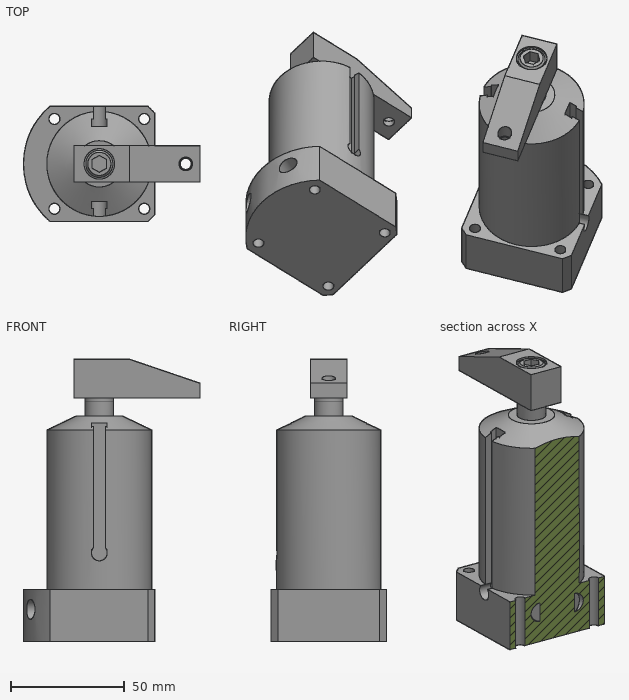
import cadquery as cq
import math

total_height = 124.3
base_height = 23.0
shoulder_z = 93.1
barrel_top_z = 99.3
arm_bottom_z = 107.1

base_radius = 33.4
base_width = 50.8
base_right_x = 24.5
base_corner_chamfer = 3.1
bolt_offset = 19.8
bolt_hole_diameter = 4.7

port_diameter = 8.7
port_depth = 11.5
port_z = 14.2
port_angle = 24.7

barrel_radius = 23.1
barrel_top_radius = 10.2

slot_width = 5.2
undercut_width = 7.0
slot_floor_y = 16.5
slot_lip_y = 19.6
front_slot_end_z = 39.0
rear_slot_end_z = 20.6

rod_radius = 6.3
taper_start_z = 105.6
taper_top_radius = 6.0
rod_tip_radius = 5.1
rod_tip_chamfer = taper_top_radius - rod_tip_radius
hex_across_flats = 6.5
hex_depth = 6.2

arm_width = 16.2
arm_left_x = -11.2
arm_right_x = base_right_x + 19.9
arm_bend_x = 13.3
arm_tip_z = 113.7
arm_recess_radius = 6.7
tip_hole_x = 38.0
tip_thread_diameter = 6.0
tip_drill_diameter = 4.8
tip_thread_floor_z = 110.3


def make_base():
    """Flange with a round -X side and four vertical bolt holes."""
    half_width = base_width / 2
    arc_end_x = -math.sqrt(base_radius**2 - half_width**2)
    base = (
        cq.Workplane("XY")
        .moveTo(arc_end_x, half_width)
        .threePointArc((-base_radius, 0), (arc_end_x, -half_width))
        .lineTo(base_right_x, -half_width)
        .lineTo(base_right_x, half_width)
        .close()
        .extrude(base_height)
        .edges("|Z and >X")
        .chamfer(base_corner_chamfer)
    )
    bolt_holes = (
        cq.Workplane("XY")
        .rect(2 * bolt_offset, 2 * bolt_offset, forConstruction=True)
        .vertices()
        .circle(bolt_hole_diameter / 2)
        .extrude(base_height)
    )
    return base.cut(bolt_holes)


def make_port(angle):
    """Cutter for a blind radial hole, at an angle from the -X direction."""
    inward = cq.Vector(math.cos(math.radians(angle)), math.sin(math.radians(angle)), 0)
    mouth = inward * -base_radius + cq.Vector(0, 0, port_z)
    floor = mouth + inward * port_depth
    return cq.Solid.makeCylinder(port_diameter / 2, 2 * port_depth, floor, inward * -1)


def make_slot(side, end_z):
    """Cutter for an undercut slot on the +Y (side=1) or -Y (side=-1) face."""
    height = total_height - end_z
    reach = base_width / 2

    def channel(width, inner_y, outer_y):
        return (
            cq.Workplane("XY", origin=(0, side * (inner_y + outer_y) / 2, end_z))
            .rect(width, outer_y - inner_y)
            .extrude(height)
        )

    end_hole = cq.Solid.makeCylinder(
        undercut_width / 2,
        reach - slot_floor_y,
        cq.Vector(0, side * slot_floor_y, end_z),
        cq.Vector(0, side, 0),
    )
    undercut = channel(undercut_width, slot_floor_y, slot_lip_y)
    return undercut.union(channel(slot_width, slot_floor_y, reach)).union(end_hole)


def make_rod():
    """Piston rod with a tapered seat and chamfered tip, standing in the barrel."""
    return (
        cq.Workplane("XZ")
        .moveTo(0, shoulder_z)
        .lineTo(rod_radius, shoulder_z)
        .lineTo(rod_radius, taper_start_z)
        .lineTo(taper_top_radius, total_height - rod_tip_chamfer)
        .lineTo(rod_tip_radius, total_height)
        .lineTo(0, total_height)
        .close()
        .revolve(360, (0, 0, 0), (0, 1, 0))
    )


def make_cylinder():
    """Base, barrel and piston rod as one body."""
    barrel = (
        cq.Workplane("XZ")
        .polyline([
            (0, 0),
            (barrel_radius, 0),
            (barrel_radius, shoulder_z),
            (barrel_top_radius, barrel_top_z),
            (0, barrel_top_z),
        ])
        .close()
        .revolve(360, (0, 0, 0), (0, 1, 0))
    )
    body = make_base().union(barrel)
    for angle in (-port_angle, port_angle):
        body = body.cut(cq.Workplane(make_port(angle)))
    for side, end_z in ((-1, front_slot_end_z), (1, rear_slot_end_z)):
        body = body.cut(make_slot(side, end_z))

    hex_corner_diameter = hex_across_flats / math.cos(math.pi / 6)
    hex_socket = (
        cq.Workplane("XY", origin=(0, 0, total_height))
        .polygon(6, hex_corner_diameter)
        .extrude(-hex_depth)
        .rotate((0, 0, 0), (0, 0, 1), 30)
    )
    return body.union(make_rod()).cut(hex_socket)


def make_arm():
    """Clamp arm bored to fit the rod, with a stepped screw hole at its tip."""
    arm = (
        cq.Workplane("XZ", origin=(0, arm_width / 2, 0))
        .polyline([
            (arm_left_x, arm_bottom_z),
            (arm_right_x, arm_bottom_z),
            (arm_right_x, arm_tip_z),
            (arm_bend_x, total_height),
            (arm_left_x, total_height),
        ])
        .close()
        .extrude(arm_width)
    )
    rod_recess = (
        cq.Workplane("XY", origin=(0, 0, total_height))
        .circle(arm_recess_radius)
        .extrude(-rod_tip_chamfer)
    )
    tip_drill = (
        cq.Workplane("XY", origin=(tip_hole_x, 0, arm_bottom_z))
        .circle(tip_drill_diameter / 2)
        .extrude(total_height - arm_bottom_z)
    )
    tip_thread = (
        cq.Workplane("XY", origin=(tip_hole_x, 0, tip_thread_floor_z))
        .circle(tip_thread_diameter / 2)
        .extrude(total_height - tip_thread_floor_z)
    )
    return arm.cut(make_rod()).cut(rod_recess).cut(tip_drill).cut(tip_thread)


cylinder = make_cylinder()
arm = make_arm()

result = cq.Compound.makeCompound([cylinder.solids().val(), arm.solids().val()])